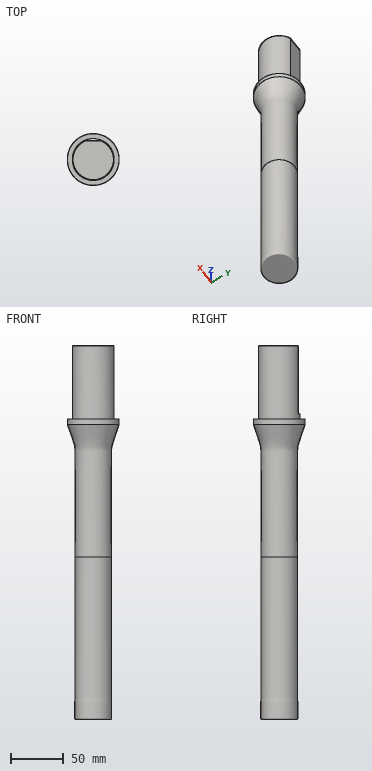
import cadquery as cq

total_length = 356.0
shank_diameter = 40.0
flange_diameter = 49.5
neck_diameter = 35.0
relief_diameter = 34.5
tip_diameter = 35.2

tip_top = 17.0
tip_taper_top = 20.3
joint_height = 155.0
collar_bottom = 251.7
collar_top = 256.0
cone_bottom = 259.0
flange_bottom = 281.0
flange_top = 286.2

tip_edge_radius = 1.0
shank_edge_chamfer = 0.7

flat_offset = 18.0
flat_bottom = 291.5
flat_run_out = 1.0

shank_radius = shank_diameter / 2
flange_radius = flange_diameter / 2
neck_radius = neck_diameter / 2
relief_radius = relief_diameter / 2
relief_middle = (joint_height + collar_bottom) / 2
tip_radius = tip_diameter / 2

cone_slope = (flange_radius - neck_radius, flange_bottom - cone_bottom)
flare_height = 262.7
flare_radius = neck_radius + (flare_height - cone_bottom) * cone_slope[0] / cone_slope[1]


def make_flat_cutter():
    """Block beyond the shank flat, with a sloped run-out at its lower end."""
    outside = shank_radius + 3.5
    slope = flat_run_out / (shank_radius - flat_offset)
    outside_bottom = flat_bottom - slope * (outside - flat_offset)
    return (
        cq.Workplane("YZ")
        .moveTo(flat_offset, flat_bottom)
        .lineTo(outside, outside_bottom)
        .lineTo(outside, total_length)
        .lineTo(flat_offset, total_length)
        .close()
        .extrude(shank_radius, both=True)
    )


def make_holder():
    """Upper body: neck with a shallow hollow, cone, flange and shank, turned about Z."""
    turned = (
        cq.Workplane("XZ")
        .moveTo(0, joint_height)
        .lineTo(neck_radius, joint_height)
        .threePointArc((relief_radius, relief_middle), (neck_radius, collar_bottom))
        .lineTo(neck_radius, collar_top)
        .spline(
            [(flare_radius, flare_height), (flange_radius, flange_bottom)],
            tangents=[(0, 1), cone_slope],
            includeCurrent=True,
        )
        .lineTo(flange_radius, flange_top)
        .lineTo(shank_radius, flange_top)
        .lineTo(shank_radius, total_length)
        .lineTo(0, total_length)
        .close()
        .revolve(360, (0, 0), (0, 1))
    )
    return turned.cut(make_flat_cutter()).faces(">Z").chamfer(shank_edge_chamfer)


def make_cutting_head():
    """Lower body: slightly wider round-edged tip, tapering to a straight cylinder."""
    turned = (
        cq.Workplane("XZ")
        .lineTo(tip_radius, 0)
        .lineTo(tip_radius, tip_top)
        .lineTo(neck_radius, tip_taper_top)
        .lineTo(neck_radius, joint_height)
        .lineTo(0, joint_height)
        .close()
        .revolve(360, (0, 0), (0, 1))
    )
    return turned.faces("<Z").edges().fillet(tip_edge_radius)


holder = make_holder()
cutting_head = make_cutting_head()

result = cq.Compound.makeCompound([holder.val(), cutting_head.val()])